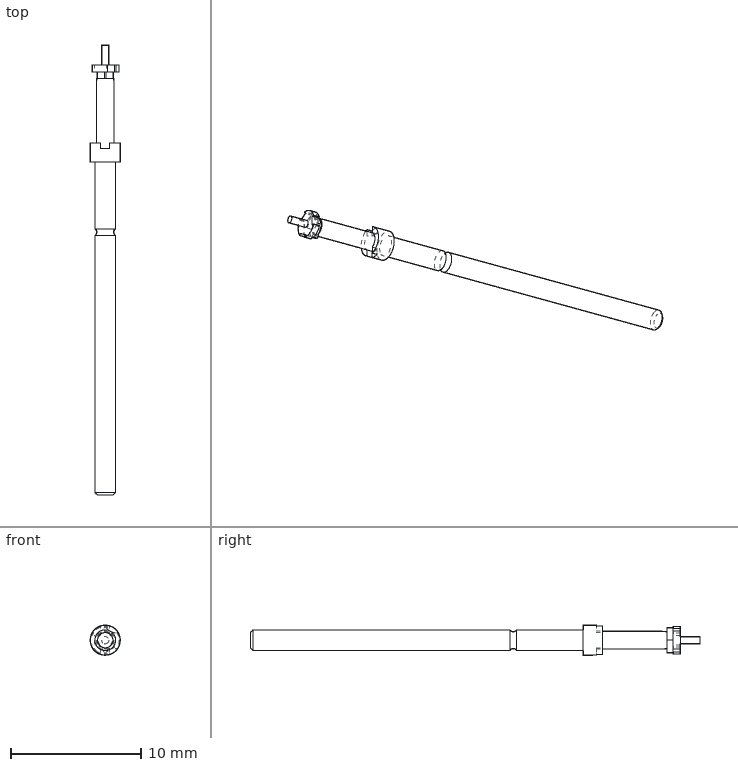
import cadquery as cq
import math

total_length = 34.5
tip_end = total_length / 2
tail_end = -total_length / 2

tip_radius = 0.28
tip_length = 1.52

disc_radius = 1.07
disc_length = 0.55
disc_slot_count = 3
disc_slot_width = 0.72
disc_slot_floor = 0.83

neck_half_height = 1.07
neck_corner_angle = 60
neck_half_width = neck_half_height * math.tan(math.radians(neck_corner_angle / 2))
neck_tip_radius = 0.95
neck_length = 0.5

shaft_radius = 0.7
shaft_lead_radius = 0.65
shaft_lead_length = 0.45
shaft_length = 4.95

collar_diameter = 2.3
collar_radius = collar_diameter / 2
collar_length = 1.5
collar_slot_width = 0.7
collar_slot_length = 0.45

body_radius = 0.8
tail_chamfer = 0.2

groove_depth = 0.15
groove_start = 14.08
groove_length = 0.52

disc_top = tip_end - tip_length
disc_bottom = disc_top - disc_length
shaft_top = disc_bottom - neck_length
collar_top = shaft_top - shaft_length
collar_bottom = collar_top - collar_length
groove_top = tip_end - groove_start


def section_plane(y):
    """Plane across the axis at y, with local x along +X, local y along +Z and extrusion towards -Y."""
    return cq.Workplane(cq.Plane(origin=(0, y, 0), xDir=(1, 0, 0), normal=(0, -1, 0)))


def rod(y, radius, length):
    """Round rod running from y towards the tail."""
    return section_plane(y).circle(radius).extrude(length)


def slotted_disc():
    disc = rod(disc_top, disc_radius, disc_length)
    for index in range(disc_slot_count):
        angle = 180 + index * 360 / disc_slot_count
        slot = (
            section_plane(disc_top)
            .center(disc_slot_floor + disc_radius / 2, 0)
            .rect(disc_radius, disc_slot_width)
            .extrude(disc_length)
            .rotate((0, 0, 0), (0, 1, 0), angle)
        )
        disc = disc.cut(slot)
    return disc


def diamond_neck():
    corners = [
        (neck_half_width, 0),
        (0, neck_half_height),
        (-neck_half_width, 0),
        (0, -neck_half_height),
    ]
    diamond = section_plane(disc_bottom).polyline(corners).close().extrude(neck_length)
    return diamond.intersect(rod(disc_bottom, neck_tip_radius, neck_length))


def revolve_about_axis(profile):
    return profile.close().revolve(360, (0, 0, 0), (0, 1, 0))


def shaft():
    profile = (
        cq.Workplane("XY")
        .moveTo(0, collar_top)
        .lineTo(shaft_radius, collar_top)
        .lineTo(shaft_radius, shaft_top - shaft_lead_length)
        .tangentArcPoint((shaft_lead_radius, shaft_top), relative=False)
        .lineTo(0, shaft_top)
    )
    return revolve_about_axis(profile)


def slotted_collar():
    collar = rod(collar_top, collar_radius, collar_length)
    slot = section_plane(collar_top).rect(collar_slot_width, 2 * collar_radius).extrude(collar_slot_length)
    core = rod(collar_top, shaft_radius, collar_slot_length)
    return collar.cut(slot).union(core)


def roll_groove():
    """Ring with a rounded inner wall that cuts the crimped groove into the body."""
    groove_bottom = groove_top - groove_length
    groove_middle = groove_top - groove_length / 2
    profile = (
        cq.Workplane("XY")
        .moveTo(body_radius, groove_top)
        .threePointArc((body_radius - groove_depth, groove_middle), (body_radius, groove_bottom))
        .lineTo(collar_radius, groove_bottom)
        .lineTo(collar_radius, groove_top)
    )
    return revolve_about_axis(profile)


def grooved_body():
    body = rod(collar_bottom, body_radius, collar_bottom - tail_end).faces("<Y").chamfer(tail_chamfer)
    return body.cut(roll_groove())


result = (
    rod(tip_end, tip_radius, tip_length)
    .union(slotted_disc())
    .union(diamond_neck())
    .union(shaft())
    .union(slotted_collar())
    .union(grooved_body())
)